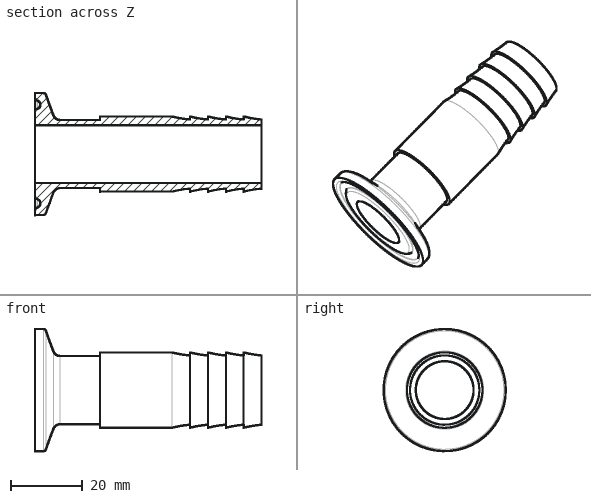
import cadquery as cq
import math

total_length = 63.0
bore_diameter = 16.0

flange_radius = 34.0 / 2
rim_land = 2.3
rim_round = 0.8
back_slope = math.radians(20)

neck_radius = 19.0 / 2
neck_fillet = 2.0
sleeve_radius = 21.0 / 2
sleeve_start = 18.1

barb_count = 5
barb_pitch = 5.0
barb_root_radius = 9.65
barb_sag = 0.095
barbs_start = total_length - barb_count * barb_pitch

groove_radius = 13.75
groove_half_width = 1.95
groove_lip_round = 0.8
groove_floor_round = 1.2

turn = math.pi / 2 - back_slope
tangent_factor = math.tan(turn / 2)


def arc_point(center, radius, angle):
    """Point at the given angle from +X, as (x, radial distance)."""
    return (center[0] + radius * math.cos(angle), center[1] + radius * math.sin(angle))


def add_barb(profile, start):
    """Append one concave taper falling from the crest to the root."""
    middle_radius = (sleeve_radius + barb_root_radius) / 2 - barb_sag
    return (
        profile.lineTo(start, sleeve_radius)
        .threePointArc((start + barb_pitch / 2, middle_radius), (start + barb_pitch, barb_root_radius))
    )


def make_body():
    """Revolve the solid outer shape."""
    virtual_rim = rim_land + rim_round * tangent_factor
    virtual_neck = virtual_rim + (flange_radius - neck_radius) * math.tan(back_slope)
    fillet_end = virtual_neck + neck_fillet * tangent_factor
    rim_center = (rim_land, flange_radius - rim_round)
    fillet_center = (fillet_end, neck_radius + neck_fillet)

    profile = (
        cq.Workplane("XY")
        .lineTo(0, flange_radius)
        .lineTo(rim_land, flange_radius)
        .threePointArc(
            arc_point(rim_center, rim_round, math.pi / 2 - turn / 2),
            arc_point(rim_center, rim_round, back_slope),
        )
        .lineTo(*arc_point(fillet_center, neck_fillet, math.pi + back_slope))
        .threePointArc(
            arc_point(fillet_center, neck_fillet, -math.pi / 2 - turn / 2),
            (fillet_end, neck_radius),
        )
        .lineTo(sleeve_start, neck_radius)
        .lineTo(sleeve_start, sleeve_radius)
    )
    for index in range(barb_count):
        profile = add_barb(profile, barbs_start + index * barb_pitch)
    return profile.lineTo(total_length, 0).close().revolve(360, (0, 0, 0), (1, 0, 0))


def make_groove():
    """Revolve the gasket groove: rounded lips, sloped walls and a round floor."""
    rounds_width = (groove_lip_round + groove_floor_round) * math.sin(turn)
    wall_depth = (groove_half_width - rounds_width) * math.tan(turn)
    rounds_depth = (groove_lip_round + groove_floor_round) * (1 - math.cos(turn))
    depth = rounds_depth + wall_depth

    inner_edge = groove_radius - groove_half_width
    outer_edge = groove_radius + groove_half_width
    inner_lip = (groove_lip_round, inner_edge)
    outer_lip = (groove_lip_round, outer_edge)
    floor = (depth - groove_floor_round, groove_radius)

    return (
        cq.Workplane("XY")
        .moveTo(0, inner_edge)
        .threePointArc(
            arc_point(inner_lip, groove_lip_round, math.pi - turn / 2),
            arc_point(inner_lip, groove_lip_round, math.pi - turn),
        )
        .lineTo(*arc_point(floor, groove_floor_round, -turn))
        .threePointArc((depth, groove_radius), arc_point(floor, groove_floor_round, turn))
        .lineTo(*arc_point(outer_lip, groove_lip_round, math.pi + turn))
        .threePointArc(
            arc_point(outer_lip, groove_lip_round, math.pi + turn / 2),
            (0, outer_edge),
        )
        .close()
        .revolve(360, (0, 0, 0), (1, 0, 0))
    )


bore = cq.Workplane("YZ").circle(bore_diameter / 2).extrude(total_length)
result = make_body().cut(make_groove()).cut(bore)